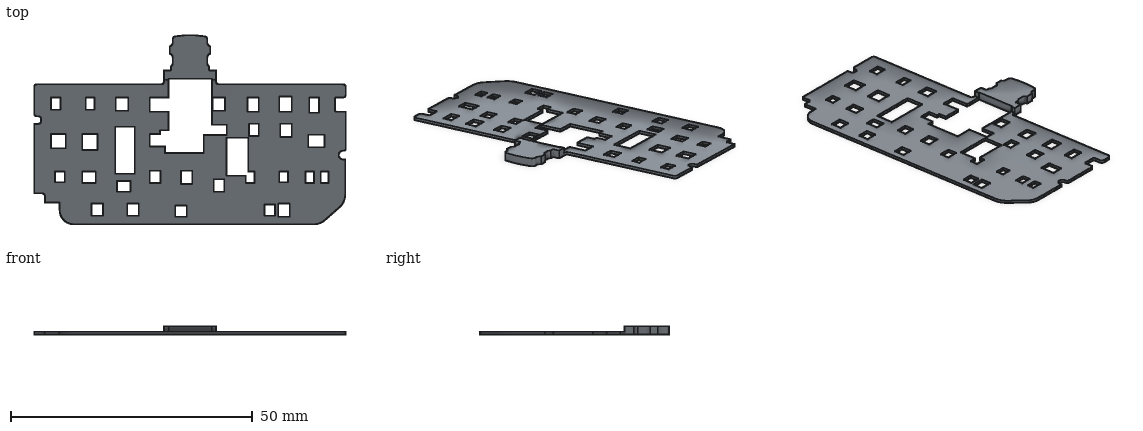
import cadquery as cq
import math


overall_width = 64.51
overall_depth = 39.19
tab_thickness = 1.75
plate_thickness = 0.6

top_row_y = 26.25
upper_middle_row_y = 20.8
middle_row_y = 18.7
lower_row_y = 10.9
bottom_row_y = 4.3

side_x = overall_width / 2
lower_right_inset = 0.12
lower_right_x = side_x - lower_right_inset
plate_top_y = 29.0
plate_corner_radius = 0.5
right_corner_radius = 0.6
bevel_width = 5.2
bevel_height = 4.6
bevel_blend_radius = 3.5
bottom_left_radius = 3.0
step_inner_x = -27.0
step_outer_x = -30.05
step_low_y = 4.5
step_high_y = 6.4
step_radius = 0.5

left_notch_y = 21.6
left_notch_height = 1.55
left_notch_depth = 1.4
left_notch_radius = 0.55
right_notch_y = 14.35
right_notch_height = 1.75
right_notch_depth = 1.35
square_notch_low_y = 23.35
square_notch_high_y = top_row_y
square_notch_depth = 2.25
square_notch_radius = 0.25

flange_half_width = 5.43
flange_bottom_y = 29.9
flange_top_y = 31.85
flange_root_radius = 0.5
neck_half_width = 3.6
foot_half_width = 3.95
foot_top_y = 32.7
foot_root_radius = 0.25
ear_half_width = 4.2
ear_low_y = 35.3
ear_high_y = 36.85
flare_radius = 0.77
tab_shoulder_y = 38.82
tab_shoulder_radius = 0.7

window_left_x = -4.42
window_right_x = 4.52
window_top_y = 30.1
window_bottom_y = 14.8
left_bay_x = -8.32
upper_left_bay_low_y = square_notch_low_y
lower_left_bay_low_y = 16.15
ledge_x = -6.17
ledge_y = 19.45
window_base_left_x = -5.17
window_base_right_x = 2.8
right_bay_x = 7.6
right_bay_low_y = 18.5
right_bay_high_y = 20.6

top_row = [
    (-28.75, top_row_y, 1.95, 2.5),
    (-21.55, top_row_y, 1.75, 2.5),
    (-15.35, top_row_y, 2.55, 2.7),
    (4.72, top_row_y, 2.48, 2.7),
    (11.9, top_row_y, 2.3, 2.9),
    (18.5, 26.45, 2.5, 3.1),
    (24.7, top_row_y, 1.95, 3.1),
]
middle_row = [
    (-28.75, middle_row_y, 3.0, 2.9),
    (-22.25, middle_row_y, 3.1, 3.3),
    (-15.45, 20.2, 4.0, 9.7),
    (12.25, upper_middle_row_y, 1.95, 2.5),
    (18.7, upper_middle_row_y, 2.3, 2.7),
    (24.5, 18.5, 3.3, 2.5),
]
lower_row = [
    (-27.9, lower_row_y, 1.95, 2.15),
    (-22.25, lower_row_y, 2.7, 2.3),
    (-15.1, 8.95, 2.75, 2.15),
    (-8.3, 11.1, 2.15, 2.5),
    (-1.85, 11.1, 2.3, 2.7),
    (4.95, 9.3, 2.1, 2.5),
    (18.5, lower_row_y, 1.75, 2.15),
    (23.9, lower_row_y, 1.75, 2.3),
    (27.1, lower_row_y, 1.55, 2.3),
]
bottom_row = [
    (-20.35, bottom_row_y, 2.35, 2.5),
    (-12.95, bottom_row_y, 2.3, 2.5),
    (-3.05, 3.9, 2.35, 2.3),
    (15.45, 4.1, 2.1, 2.3),
    (18.3, bottom_row_y, 2.3, 2.7),
]
stepped_opening = [
    (right_bay_x, 17.9, 4.45, 7.8),
    (11.55, lower_row_y, 1.75, 2.3),
]


def fillet_corners(solid, corners, radius):
    """Round the vertical edges standing at the given (x, y) corners."""
    reach = 0.02
    for x, y in corners:
        low = (x - reach, y - reach, 0)
        high = (x + reach, y + reach, tab_thickness)
        picker = cq.selectors.BoxSelector(low, high)
        solid = solid.edges("|Z").edges(picker).fillet(radius)
    return solid


def mirrored(points):
    """The given points together with their reflections across X = 0."""
    return points + [(-x, y) for x, y in points]


def make_plate():
    step_outline = [
        (-side_x, plate_top_y),
        (-side_x, step_high_y),
        (step_outer_x, step_high_y),
        (step_outer_x, step_low_y),
        (step_inner_x, step_low_y),
        (step_inner_x, 0),
    ]
    bevel_outline = [
        (lower_right_x - bevel_width, 0),
        (lower_right_x, bevel_height),
        (lower_right_x, right_notch_y),
        (side_x, right_notch_y),
        (side_x, plate_top_y),
    ]
    neck_outline = [
        (flange_half_width, plate_top_y),
        (flange_half_width, flange_top_y),
        (-flange_half_width, flange_top_y),
        (-flange_half_width, plate_top_y),
    ]
    plate = cq.Workplane("XY").polyline(step_outline + bevel_outline + neck_outline).close()
    plate = plate.extrude(plate_thickness)
    plate = fillet_corners(plate, [step_outline[0]], plate_corner_radius)
    plate = fillet_corners(plate, [(side_x, plate_top_y)], right_corner_radius)
    plate = fillet_corners(plate, [(step_outer_x, step_high_y)], step_radius)
    plate = fillet_corners(plate, [(step_inner_x, 0)], bottom_left_radius)
    plate = fillet_corners(plate, bevel_outline[:2], bevel_blend_radius)
    return fillet_corners(plate, mirrored([(flange_half_width, plate_top_y)]), flange_root_radius)


def cut_left_notch(plate):
    high_y = left_notch_y + left_notch_height / 2
    low_y = left_notch_y - left_notch_height / 2
    end_x = -side_x + left_notch_depth
    notch = cq.Workplane("XY").box(
        2 * left_notch_depth, left_notch_height, plate_thickness, centered=(True, True, False)
    )
    plate = plate.cut(notch.translate((-side_x, left_notch_y, 0)))
    plate = fillet_corners(plate, [(end_x, high_y), (end_x, low_y)], left_notch_radius)
    return fillet_corners(plate, [(-side_x, high_y)], plate_corner_radius)


def cut_right_notch(plate):
    radius = right_notch_height / 2
    end_x = lower_right_x - right_notch_depth
    length = 2 * right_notch_depth + right_notch_height
    notch = cq.Workplane("XY").slot2D(length, right_notch_height).extrude(plate_thickness)
    plate = plate.cut(notch.translate((end_x + length / 2, right_notch_y, 0)))
    return fillet_corners(plate, [(side_x, right_notch_y + radius)], plate_corner_radius)


def cut_square_notch(plate):
    end_x = side_x - square_notch_depth
    height = square_notch_high_y - square_notch_low_y
    notch = cq.Workplane("XY").box(square_notch_depth, height, plate_thickness, centered=False)
    plate = plate.cut(notch.translate((end_x, square_notch_low_y, 0)))
    inner = [(end_x, square_notch_low_y), (end_x, square_notch_high_y), (side_x, square_notch_low_y)]
    plate = fillet_corners(plate, inner, square_notch_radius)
    return fillet_corners(plate, [(side_x, square_notch_high_y)], right_corner_radius)


def flare(end_x, end_y, direction):
    """Concave arc tangent to the neck side, ending at (end_x, end_y).

    direction is +1 when the neck lies above the end point and -1 when it lies below.
    Returns the arc's start on the neck, its middle and its end.
    """
    sweep = math.acos(1 - (end_x - neck_half_width) / flare_radius)
    start_y = end_y + direction * flare_radius * math.sin(sweep)
    middle_x = neck_half_width + flare_radius * (1 - math.cos(sweep / 2))
    middle_y = start_y - direction * flare_radius * math.sin(sweep / 2)
    return (neck_half_width, start_y), (middle_x, middle_y), (end_x, end_y)


def make_tab():
    ear_top_start, ear_top_middle, ear_top_end = flare(ear_half_width, ear_high_y, 1)
    ear_base_start, ear_base_middle, ear_base_end = flare(ear_half_width, ear_low_y, -1)
    foot_start, foot_middle, foot_end = flare(foot_half_width, foot_top_y, 1)
    shoulder = (neck_half_width, tab_shoulder_y)
    foot_root = (foot_half_width, flange_top_y)

    crown_rise = overall_depth - tab_shoulder_y
    crown_radius = (neck_half_width**2 + crown_rise**2) / (2 * crown_rise)

    half = (
        cq.Workplane("XY")
        .moveTo(0, flange_bottom_y)
        .lineTo(0, overall_depth)
        .radiusArc(shoulder, crown_radius)
        .lineTo(*ear_top_start)
        .threePointArc(ear_top_middle, ear_top_end)
        .lineTo(*ear_base_end)
        .threePointArc(ear_base_middle, ear_base_start)
        .lineTo(*foot_start)
        .threePointArc(foot_middle, foot_end)
        .lineTo(*foot_root)
        .lineTo(flange_half_width, flange_top_y)
        .lineTo(flange_half_width, flange_bottom_y)
        .close()
        .extrude(tab_thickness)
    )
    half = fillet_corners(half, [shoulder], tab_shoulder_radius)
    half = fillet_corners(half, [foot_root], foot_root_radius)
    return half.union(half.mirror("YZ"))


def make_window():
    outline = [
        (window_left_x, window_top_y),
        (window_left_x, top_row_y),
        (left_bay_x, top_row_y),
        (left_bay_x, upper_left_bay_low_y),
        (window_left_x, upper_left_bay_low_y),
        (window_left_x, ledge_y),
        (ledge_x, ledge_y),
        (ledge_x, middle_row_y),
        (left_bay_x, middle_row_y),
        (left_bay_x, lower_left_bay_low_y),
        (window_base_left_x, lower_left_bay_low_y),
        (window_base_left_x, window_bottom_y),
        (window_base_right_x, window_bottom_y),
        (window_base_right_x, right_bay_low_y),
        (right_bay_x, right_bay_low_y),
        (right_bay_x, right_bay_high_y),
        (window_right_x, right_bay_high_y),
        (window_right_x, window_top_y),
    ]
    return cq.Workplane("XY").polyline(outline).close().extrude(tab_thickness)


def cut_openings(plate, openings):
    for left_x, top_y, width, height in openings:
        cutter = cq.Workplane("XY").box(width, height, plate_thickness, centered=False)
        plate = plate.cut(cutter.translate((left_x, top_y - height, 0)))
    return plate


plate = make_plate()
plate = cut_left_notch(plate)
plate = cut_right_notch(plate)
plate = cut_square_notch(plate)
for openings in (top_row, middle_row, lower_row, bottom_row, stepped_opening):
    plate = cut_openings(plate, openings)

result = plate.union(make_tab()).cut(make_window())